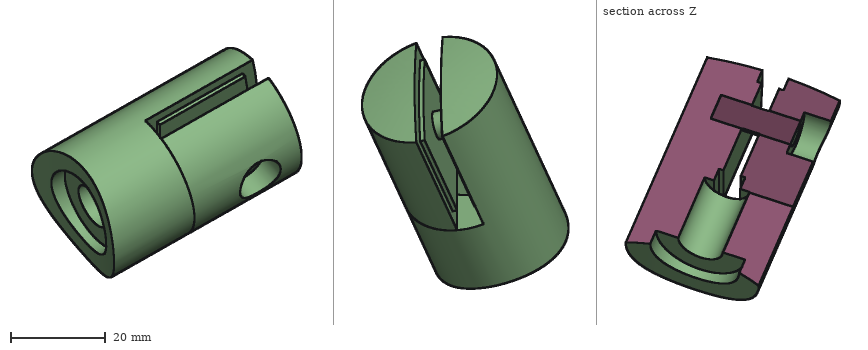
import cadquery as cq
import math

apex_y = 49.75
outer_diameter = 30.0
outer_radius = outer_diameter / 2
saddle_depth = 2.7
dome_height = 1.25

recess_diameter = 20.0
recess_floor_y = 4.95
bore_diameter = 10.0

slot_width = 5.8
slot_half = slot_width / 2
slot_floor_y = 20.75
pin_y = 37.8
pin_diameter = 6.0
access_diameter = 10.5
access_depth = 5.95
access_floor_x = outer_radius - access_depth
pin_engagement = 5.95

pad_thickness = 1.0
pad_inset = 3.05


def arc_radius(half_chord, rise):
    return (half_chord ** 2 + rise ** 2) / (2 * rise)


saddle_radius = arc_radius(outer_radius, saddle_depth)
dome_radius = arc_radius(outer_radius, dome_height)
dome_center_y = apex_y - dome_radius


def cylinder_y(diameter, start, end):
    """Cylinder on the Y axis between two Y positions."""
    return cq.Workplane("XZ", origin=(0, start, 0)).circle(diameter / 2).extrude(start - end)


def cylinder_x(diameter, start, end):
    """Cylinder along X, centred on the pin axis."""
    return cq.Workplane("YZ", origin=(start, pin_y, 0)).circle(diameter / 2).extrude(end - start)


def make_blank():
    """Revolved bar with a spherical end, cut by an upright cylinder to form the saddle."""
    bar = (
        cq.Workplane("XY")
        .lineTo(outer_radius, 0)
        .lineTo(outer_radius, apex_y - dome_height)
        .radiusArc((0, apex_y), -dome_radius)
        .close()
        .revolve(360, (0, 0, 0), (0, 1, 0))
    )
    saddle = (
        cq.Workplane("XY", origin=(0, saddle_depth - saddle_radius, 0))
        .circle(saddle_radius)
        .extrude(outer_radius, both=True)
    )
    return bar.cut(saddle)


def make_pad(inner_x):
    """Raised pad with a crowned end concentric with the dome."""
    start_y = slot_floor_y + pad_inset
    half_height = outer_radius - pad_inset
    crown_radius = dome_radius - pad_inset
    corner_y = dome_center_y + math.sqrt(crown_radius ** 2 - half_height ** 2)
    return (
        cq.Workplane("YZ", origin=(inner_x, 0, 0))
        .moveTo(start_y, -half_height)
        .lineTo(corner_y, -half_height)
        .threePointArc((apex_y - pad_inset, 0), (corner_y, half_height))
        .lineTo(start_y, half_height)
        .close()
        .extrude(pad_thickness)
    )


def block_above_slot_floor(start_x):
    """Region beyond the slot floor, from an X position out past the +X side."""
    block = cq.Workplane("XY").box(outer_diameter, apex_y, 2 * outer_diameter, centered=(False, False, True))
    return block.translate((start_x, slot_floor_y, 0))


def make_housing():
    """Base with the fixed -X jaw, the stepped bore and a blind hole for the pin."""
    recess = cylinder_y(recess_diameter, 0, recess_floor_y)
    bore = cylinder_y(bore_diameter, 0, slot_floor_y)
    body = make_blank().cut(block_above_slot_floor(-slot_half)).cut(recess).cut(bore)
    return body.union(make_pad(-slot_half)).cut(make_pin())


def make_jaw():
    """Removable +X jaw resting on the slot floor plane, with a counterbored pin hole."""
    access_hole = cylinder_x(access_diameter, access_floor_x, outer_radius)
    cheek = make_blank().intersect(block_above_slot_floor(slot_half)).cut(access_hole)
    return cheek.union(make_pad(slot_half - pad_thickness)).cut(make_pin())


def make_pin():
    """Plain pin from its blind hole in the fixed jaw to the counterbore floor."""
    return cylinder_x(pin_diameter, -slot_half - pin_engagement, access_floor_x)


housing = make_housing()
jaw = make_jaw()
pin = make_pin()

result = cq.Compound.makeCompound([housing.solids().val(), jaw.solids().val(), pin.val()])